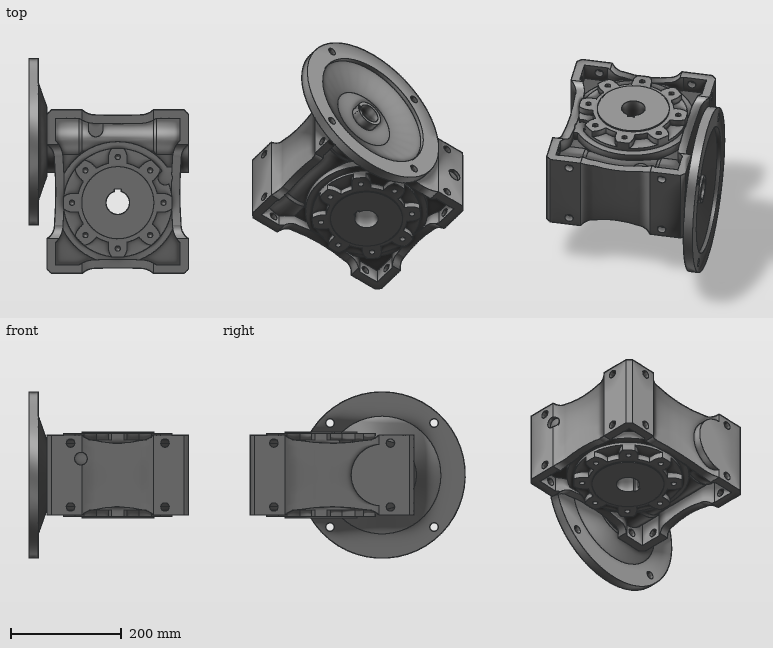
import cadquery as cq
import math

half_width = 127.5
y_front = -127.5
y_back = 167.5
half_height = 72.0
corner_chamfer = 8.0
wall = 15.5
floor_z = 41.3
back_floor_z = 20.0
worm_y = 110.0
depth_y = y_back - y_front
mid_y = (y_back + y_front) / 2

long_opening, long_bed = 84.5, 61.0
short_opening, short_bed = 64.0, 41.4
long_edge_depth, long_mid_depth = 13.2, 15.5
short_edge_depth, short_mid_depth = 9.0, 9.8
rim_edge_depth, rim_mid_depth = 9.5, 14.6
waist_clearance = 20.0

base_radius, base_z = 110.0, 57.0
disc_radius, disc_z = 98.0, 63.0
lobe_ring_radius, lobe_z = 73.0, 75.0
hub_radius, hub_z = 65.0, 77.5
lobe_count = 8
lobe_half_width, lobe_tip_half_width = 17.0, 11.2
lobe_straight_end = 80.0
lobe_reach = base_radius
lobe_circle_radius = 82.5
lobe_hole_radius, lobe_hole_depth = 4.75, 20.0
drill_point_angle = 118.0
bore_radius = 21.0
key_width, key_reach = 12.0, 24.3

barrel_radius, barrel_waist_radius = 47.5, 44.7
barrel_waist_end, barrel_taper_end = 64.0, 70.0
end_boss_radius = 55.6
end_boss_start = half_width - wall

filler_x, filler_y, filler_radius, filler_z = -39.7, 131.7, 13.0, 49.0
pad_x, pad_y, pad_half_width, spot_radius = 85.5, 45.0, 19.0, 13.0
mount_radius, mount_z = 7.5, 57.5
mount_x = 85.0
mount_y_offset = 105.0
front_plug_x, front_plug_z, front_plug_radius, front_plug_depth = -66.3, 29.6, 11.4, 7.0
side_plug_y, side_plug_radius, side_plug_depth = -101.7, 12.0, 6.0

flange_face_x = -160.0
flange_radius, flange_thickness = 150.0, 17.0
cone_outer_radius, cone_back_radius = 106.0, 62.0
pilot_radius, pilot_depth = 115.0, 7.5
flange_floor_x, flange_floor_radius = -132.5, 59.2
bolt_circle_radius, bolt_radius, bolt_count = 132.5, 7.5, 4
bolt_start_angle = 45
input_radius, input_bore_radius = 25.3, 19.0
input_front_x = -150.0
input_key_width, input_key_reach = 10.0, 22.7


def waist_outline(plane, opening, bed, edge_depth, mid_depth):
    """Waist cross-section cut down from local y = 0: two round scoops joined by a shallow arc."""
    run = opening - bed
    radius = (run**2 + edge_depth**2) / (2 * edge_depth)
    half_angle = math.asin(run / radius) / 2
    scoop_x = bed + radius * math.sin(half_angle)
    scoop_y = -edge_depth + radius * (1 - math.cos(half_angle))
    return (
        cq.Workplane(plane)
        .moveTo(-opening, waist_clearance)
        .lineTo(-opening, 0)
        .threePointArc((-scoop_x, scoop_y), (-bed, -edge_depth))
        .threePointArc((0, -mid_depth), (bed, -edge_depth))
        .threePointArc((scoop_x, scoop_y), (opening, 0))
        .lineTo(opening, waist_clearance)
        .close()
    )


def cylinder_z(x, y, radius, z_start, z_end):
    return cq.Workplane("XY", origin=(x, y, z_start)).circle(radius).extrude(z_end - z_start)


def cylinder_x(y, z, radius, x_start, x_end):
    return cq.Workplane("YZ", origin=(x_start, y, z)).circle(radius).extrude(x_end - x_start)


def cylinder_y(x, z, radius, y_start, y_end):
    plane = cq.Plane(origin=(x, y_start, z), xDir=(1, 0, 0), normal=(0, 1, 0))
    return cq.Workplane(plane).circle(radius).extrude(y_end - y_start)


def make_envelope():
    """Overall block of the frame and worm barrel."""
    return cq.Workplane("XY").box(2 * half_width, depth_y, 2 * half_height).translate((0, mid_y, 0))


def make_frame():
    """Four-cornered frame with waisted walls, pocketed above and below a solid middle."""
    height = 2 * half_height
    block = make_envelope()
    long_waist = (long_opening, long_bed, long_edge_depth, long_mid_depth)
    short_waist = (short_opening, short_bed, short_edge_depth, short_mid_depth)
    for side in (-1, 1):
        long_origin = (side * half_width, mid_y, -half_height)
        plane = cq.Plane(origin=long_origin, xDir=(0, -side, 0), normal=(0, 0, 1))
        block = block.cut(waist_outline(plane, *long_waist).extrude(height))
        short_origin = (0, mid_y + side * depth_y / 2, -half_height)
        plane = cq.Plane(origin=short_origin, xDir=(side, 0, 0), normal=(0, 0, 1))
        block = block.cut(waist_outline(plane, *short_waist).extrude(height))

    pocket_depth = half_height - floor_z
    pocket = block.faces(">Z").wires().toPending().offset2D(-wall).extrude(-pocket_depth, combine=False)
    back_zone = (
        cq.Workplane("XY")
        .box(2 * half_width, depth_y, half_height, centered=(True, False, False))
        .translate((0, worm_y, 0))
    )
    deep_pocket = pocket.translate((0, 0, back_floor_z - floor_z)).intersect(back_zone)
    pocket = pocket.union(deep_pocket)
    block = block.cut(pocket).cut(pocket.mirror("XY"))

    long_rim = (long_opening, long_bed, rim_edge_depth, rim_mid_depth)
    short_rim = (short_opening, short_bed, rim_edge_depth, rim_mid_depth)
    for side in (-1, 1):
        long_origin = (-half_width, mid_y, side * half_height)
        plane = cq.Plane(origin=long_origin, xDir=(0, side, 0), normal=(1, 0, 0))
        block = block.cut(waist_outline(plane, *long_rim).extrude(2 * half_width))
        short_origin = (0, y_front, side * half_height)
        plane = cq.Plane(origin=short_origin, xDir=(-side, 0, 0), normal=(0, 1, 0))
        block = block.cut(waist_outline(plane, *short_rim).extrude(depth_y))
    return block


def make_barrel():
    """Worm barrel along X, slightly waisted in the middle, with end bosses flush with the corners."""
    barrel = (
        cq.Workplane("XZ")
        .moveTo(-end_boss_start, 0)
        .lineTo(-end_boss_start, barrel_radius)
        .lineTo(-barrel_taper_end, barrel_radius)
        .lineTo(-barrel_waist_end, barrel_waist_radius)
        .lineTo(barrel_waist_end, barrel_waist_radius)
        .lineTo(barrel_taper_end, barrel_radius)
        .lineTo(end_boss_start, barrel_radius)
        .lineTo(end_boss_start, 0)
        .close()
        .revolve(360, (0, 0, 0), (1, 0, 0))
        .translate((0, worm_y, 0))
    )
    barrel = barrel.union(cylinder_x(worm_y, 0, end_boss_radius, -half_width, -end_boss_start))
    return barrel.union(cylinder_x(worm_y, 0, end_boss_radius, end_boss_start, half_width))


def make_cover():
    """Upper output cover: stepped discs carrying a ring of eight bolt lobes and a raised hub."""
    lobed_disc = cylinder_z(0, 0, disc_radius, 0, disc_z)
    lobed_disc = lobed_disc.union(cylinder_z(0, 0, lobe_ring_radius, 0, lobe_z))
    tip_x = math.sqrt(disc_radius**2 - lobe_tip_half_width**2)
    shoulder_run = tip_x - lobe_straight_end
    narrowing = lobe_half_width - lobe_tip_half_width
    shoulder_radius = (shoulder_run**2 + narrowing**2) / (2 * narrowing)
    arm = (
        cq.Workplane("XY")
        .moveTo(0, -lobe_half_width)
        .lineTo(lobe_straight_end, -lobe_half_width)
        .radiusArc((tip_x, -lobe_tip_half_width), -shoulder_radius)
        .lineTo(lobe_reach, -lobe_tip_half_width)
        .lineTo(lobe_reach, lobe_tip_half_width)
        .lineTo(tip_x, lobe_tip_half_width)
        .radiusArc((lobe_straight_end, lobe_half_width), -shoulder_radius)
        .lineTo(0, lobe_half_width)
        .close()
        .extrude(lobe_z)
    )
    for index in range(lobe_count):
        lobed_disc = lobed_disc.union(arm.rotate((0, 0, 0), (0, 0, 1), index * 360 / lobe_count))
    lobed_disc = lobed_disc.intersect(cylinder_z(0, 0, disc_radius, 0, lobe_z))
    cover = cylinder_z(0, 0, base_radius, 0, base_z).union(lobed_disc)
    cover = cover.union(cylinder_z(0, 0, hub_radius, 0, hub_z))

    tip_depth = lobe_hole_radius / math.tan(math.radians(drill_point_angle / 2))
    hole = (
        cq.Workplane("XZ")
        .lineTo(lobe_hole_radius, 0)
        .lineTo(lobe_hole_radius, -lobe_hole_depth)
        .lineTo(0, -lobe_hole_depth - tip_depth)
        .close()
        .revolve(360, (0, 0, 0), (0, 1, 0))
        .translate((lobe_circle_radius, 0, lobe_z))
    )
    for index in range(lobe_count):
        cover = cover.cut(hole.rotate((0, 0, 0), (0, 0, 1), index * 360 / lobe_count))
    return cover


def make_filler_boss():
    """Round-nosed boss on the barrel, running straight into the +Y wall."""
    boss_length = y_back - short_edge_depth - wall / 2 - filler_y
    shank = (
        cq.Workplane("XY")
        .box(2 * filler_radius, boss_length, filler_z, centered=(True, False, False))
        .translate((filler_x, filler_y, 0))
    )
    return cylinder_z(filler_x, filler_y, filler_radius, 0, filler_z).union(shank)


def make_plug_pad():
    """Pad joining the upper cover base to the +X wall."""
    pad_length = half_width - wall - pad_x
    return (
        cq.Workplane("XY")
        .box(pad_length, 2 * pad_half_width, base_z, centered=(False, True, False))
        .translate((pad_x, pad_y, 0))
    )


def make_mount_holes():
    """Bolt holes through the wall at every corner, along X and along Y."""
    holes = cq.Workplane("XY")
    for z in (-mount_z, mount_z):
        for side in (-1, 1):
            y = mid_y + side * mount_y_offset
            x = side * mount_x
            holes = holes.add(cylinder_x(y, z, mount_radius, -half_width, -half_width + wall))
            holes = holes.add(cylinder_x(y, z, mount_radius, half_width - wall, half_width))
            holes = holes.add(cylinder_y(x, z, mount_radius, y_front, y_front + wall))
            holes = holes.add(cylinder_y(x, z, mount_radius, y_back - wall, y_back))
    return holes


def make_output_bore():
    keyway = cq.Workplane("XY").box(key_width, key_reach, 2 * hub_z, centered=(True, False, True))
    return cylinder_z(0, 0, bore_radius, -hub_z, hub_z).union(keyway)


def make_housing():
    cover = make_cover()
    housing = make_frame().union(make_barrel())
    housing = housing.intersect(make_envelope().edges("|Z").chamfer(corner_chamfer))
    housing = housing.union(cover).union(cover.mirror("XY"))
    housing = housing.union(make_filler_boss())
    housing = housing.union(make_plug_pad())

    housing = housing.cut(cylinder_z(pad_x, pad_y, spot_radius, base_z, lobe_z))
    for hole in make_mount_holes().vals():
        housing = housing.cut(cq.Workplane(hole))
    front_plug_end = y_front + front_plug_depth
    housing = housing.cut(
        cylinder_y(front_plug_x, front_plug_z, front_plug_radius, y_front, front_plug_end)
    )
    side_plug_end = -half_width + side_plug_depth
    housing = housing.cut(cylinder_x(side_plug_y, 0, side_plug_radius, -half_width, side_plug_end))
    return housing.cut(make_output_bore())


def make_input_bore():
    """Keyed bore through the hub, closed by the housing face behind it."""
    hub_length = -half_width - input_front_x
    keyway = (
        cq.Workplane("XY")
        .box(hub_length, input_key_reach, input_key_width, centered=(False, False, True))
        .translate((input_front_x, worm_y, 0))
    )
    return cylinder_x(worm_y, 0, input_bore_radius, input_front_x, -half_width).union(keyway)


def make_flange():
    """Dished motor flange with a keyed central hub, seated on the -X face of the housing."""
    rim_back_x = flange_face_x + flange_thickness
    pilot_x = flange_face_x + pilot_depth
    flange = (
        cq.Workplane("XZ")
        .moveTo(flange_face_x, pilot_radius)
        .lineTo(flange_face_x, flange_radius)
        .lineTo(rim_back_x, flange_radius)
        .lineTo(rim_back_x, cone_outer_radius)
        .lineTo(-half_width, cone_back_radius)
        .lineTo(-half_width, 0)
        .lineTo(input_front_x, 0)
        .lineTo(input_front_x, input_radius)
        .lineTo(flange_floor_x, input_radius)
        .lineTo(flange_floor_x, flange_floor_radius)
        .lineTo(pilot_x, pilot_radius)
        .close()
        .revolve(360, (0, 0, 0), (1, 0, 0))
        .translate((0, worm_y, 0))
    )
    bolt_holes = (
        cq.Workplane("YZ", origin=(flange_face_x, worm_y, 0))
        .polarArray(bolt_circle_radius, bolt_start_angle, 360, bolt_count)
        .circle(bolt_radius)
        .extrude(flange_thickness)
    )
    return flange.cut(bolt_holes).cut(make_input_bore())


housing = make_housing()
flange = make_flange()
result = cq.Compound.makeCompound([housing.solids().val(), flange.solids().val()])